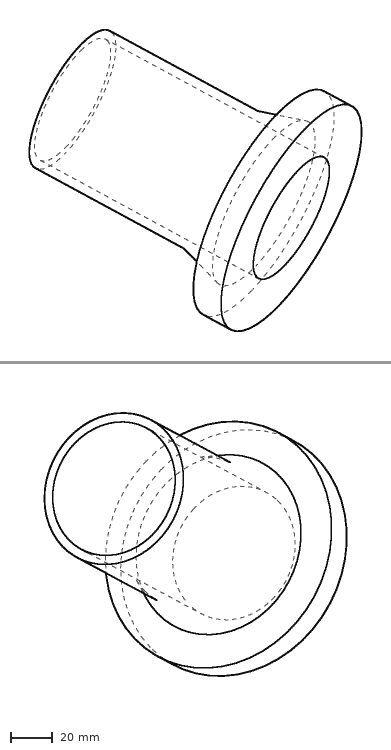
import cadquery as cq

total_length = 126.0
flange_thickness = 16.0
neck_length = 24.2
flange_diameter = 122.0
neck_end_diameter = 89.0
pipe_diameter = 75.0
bore_diameter = 66.0

flange_start = total_length - flange_thickness
neck_start = flange_start - neck_length

half_section = (
    cq.Workplane("XY")
    .moveTo(0, bore_diameter / 2)
    .lineTo(0, pipe_diameter / 2)
    .lineTo(neck_start, pipe_diameter / 2)
    .lineTo(flange_start, neck_end_diameter / 2)
    .lineTo(flange_start, flange_diameter / 2)
    .lineTo(total_length, flange_diameter / 2)
    .lineTo(total_length, bore_diameter / 2)
    .close()
)

result = half_section.revolve(360, (0, 0, 0), (1, 0, 0))